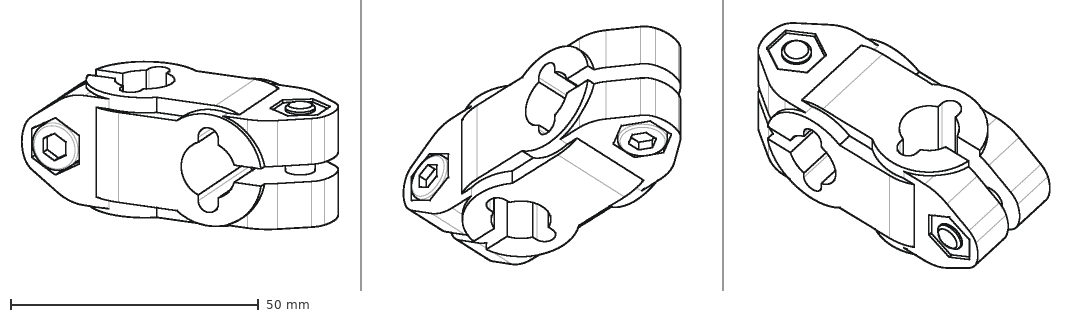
import cadquery as cq
import math


length = 64.0
body_half_depth = 12.75
bore_x = -10.0
bolt_x = -24.5

disc_radius = 11.85
arm_half_width = 9.55

lug_half_thickness = 11.5
lug_half_height = 11.65
shoulder_x = -18.1
shoulder_radius = 10.0
nose_radius = 10.0
corner_radius = 5.0

bore_diameter = 12.0
keyway_width = 4.5
keyway_reach = 8.95
slot_width = 3.65

pocket_flats = 10.5
pocket_floor = 6.0
shank_diameter = 6.0
bolt_tip = 12.0
tip_chamfer = 0.6
head_diameter = 10.0
head_height = 6.0
head_fillet = 0.45
socket_flats = 5.0
socket_depth = 2.0
nut_flats = 10.0
nut_recess = 0.5

END_X = -length / 2


def turned(shape):
    """Return the shape of the right end: (x, y, z) becomes (-x, z, y)."""
    return shape.rotate((0, 0, 0), (0, 1, 1), 180)


def hex_prism(flats, y_start, y_end):
    """Hexagonal prism along Y on the bolt axis, with two corners pointing along Z."""
    corner_distance = flats / math.sqrt(3)
    angles = [math.radians(30 + 60 * i) for i in range(6)]
    corners = [(corner_distance * math.cos(a), corner_distance * math.sin(a)) for a in angles]
    return (
        cq.Workplane("XZ", origin=(bolt_x, y_end, 0))
        .polyline(corners)
        .close()
        .extrude(y_end - y_start)
    )


def round_bar(diameter, y_start, y_end):
    """Cylinder along Y on the bolt axis."""
    return (
        cq.Workplane("XZ", origin=(bolt_x, y_end, 0))
        .circle(diameter / 2)
        .extrude(y_end - y_start)
    )


def make_hub():
    """Disc around the bore and the rounded arm that runs from it to the other end."""
    disc = (
        cq.Workplane("XY")
        .center(bore_x, 0)
        .circle(disc_radius)
        .extrude(body_half_depth, both=True)
    )
    arm_end = (
        cq.Workplane("XY")
        .center(bore_x, 0)
        .circle(body_half_depth)
        .extrude(arm_half_width, both=True)
    )
    arm = cq.Workplane("XY").box(2 * abs(bore_x), 2 * body_half_depth, 2 * arm_half_width)
    return disc.union(arm_end).union(arm)


def make_lug():
    """Tapered lug: bulged nose, rounded corners and straight flanks tangent to the shoulders."""
    arc_centre_z = lug_half_height - shoulder_radius
    nose_centre_x = END_X + nose_radius
    nose_angle = math.asin(arc_centre_z / (nose_radius - corner_radius))
    corner_x = nose_centre_x - (nose_radius - corner_radius) * math.cos(nose_angle)
    flank_angle = math.asin((shoulder_radius - corner_radius) / (shoulder_x - corner_x))
    flank_normal = math.pi / 2 - flank_angle

    def on_arc(centre_x, centre_z, radius, angle):
        """Point on an arc, with the angle measured from -X towards +Z."""
        return (centre_x - radius * math.cos(angle), centre_z + radius * math.sin(angle))

    def corner(angle):
        return on_arc(corner_x, arc_centre_z, corner_radius, angle)

    def shoulder(angle):
        return on_arc(shoulder_x, arc_centre_z, shoulder_radius, angle)

    def mirrored(point):
        return (point[0], -point[1])

    nose_edge = corner(nose_angle)
    corner_middle = corner((nose_angle + flank_normal) / 2)
    flank_outer = corner(flank_normal)
    flank_inner = shoulder(flank_normal)
    shoulder_middle = shoulder((flank_normal + math.pi / 2) / 2)
    shoulder_top = (shoulder_x, lug_half_height)
    inner_top = (bore_x, lug_half_height)

    return (
        cq.Workplane("XZ")
        .moveTo(*mirrored(nose_edge))
        .threePointArc((END_X, 0), nose_edge)
        .threePointArc(corner_middle, flank_outer)
        .lineTo(*flank_inner)
        .threePointArc(shoulder_middle, shoulder_top)
        .lineTo(*inner_top)
        .lineTo(*mirrored(inner_top))
        .lineTo(*mirrored(shoulder_top))
        .threePointArc(mirrored(shoulder_middle), mirrored(flank_inner))
        .lineTo(*mirrored(flank_outer))
        .threePointArc(mirrored(corner_middle), mirrored(nose_edge))
        .close()
        .extrude(lug_half_thickness, both=True)
    )


def make_openings():
    """Everything removed from one end: bore, keyways, slot and hexagonal pockets."""
    bore = (
        cq.Workplane("XY")
        .center(bore_x, 0)
        .circle(bore_diameter / 2)
        .extrude(body_half_depth, both=True)
    )
    keyways = (
        cq.Workplane("XY")
        .center(bore_x, 0)
        .slot2D(2 * keyway_reach, keyway_width, 90)
        .extrude(body_half_depth, both=True)
    )
    slot = cq.Workplane("XY", origin=((END_X + bore_x) / 2, 0, 0)).box(
        bore_x - END_X, slot_width, 2 * body_half_depth
    )
    head_pocket = hex_prism(pocket_flats, -body_half_depth, -pocket_floor)
    nut_pocket = hex_prism(pocket_flats, pocket_floor, body_half_depth)
    return bore.union(keyways).union(slot).union(head_pocket).union(nut_pocket)


def make_bolt():
    """Socket-head bolt with its head on the -Y side and its nut on the +Y side."""
    head_top = pocket_floor + head_height
    head = round_bar(head_diameter, -head_top, -pocket_floor).faces("<Y").edges().fillet(head_fillet)
    shank = round_bar(shank_diameter, -pocket_floor, bolt_tip).faces(">Y").edges().chamfer(tip_chamfer)
    nut = hex_prism(nut_flats, pocket_floor, lug_half_thickness - nut_recess)
    socket = hex_prism(socket_flats, -head_top, -head_top + socket_depth)
    return head.union(shank).union(nut).cut(socket)


end_body = make_hub().union(make_lug())
openings = make_openings()
bolt = make_bolt()

body = end_body.union(turned(end_body))
body = body.cut(openings).cut(turned(openings))
result = body.union(bolt).union(turned(bolt))